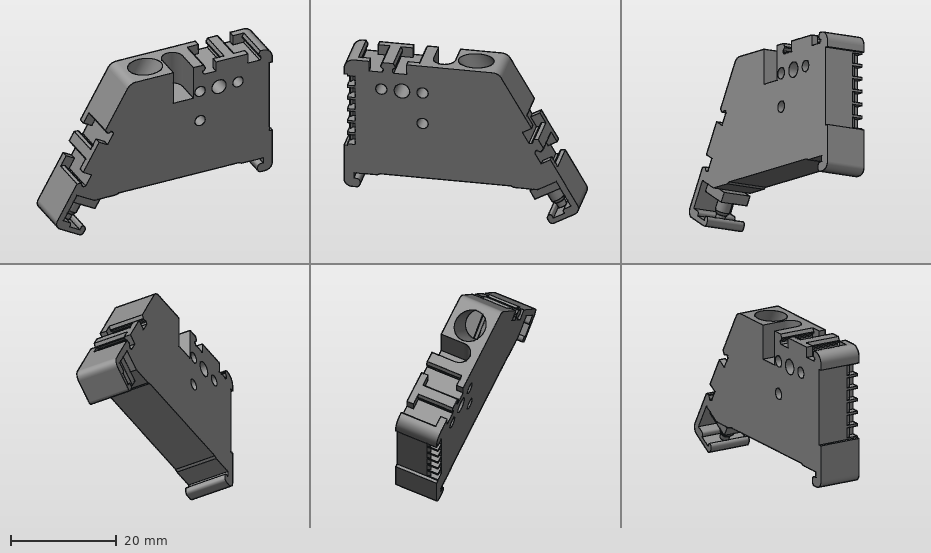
import cadquery as cq
import math

width = 8.5
length = 45.35
top_length = 29.85
front_angle = math.radians(60)
top_round = 2.0

underside_z = -24.0
relief_z = -23.7
relief_start, relief_end = -6.45, -32.9
relief_back_ramp, relief_front_ramp = 0.55, 0.7
hook_bottom_z, hook_tip_z = -26.93, -25.1
hook_inner_y, hook_tip_y = -1.9, -3.1
tip_round = 0.7
tip_inner_round = 0.3
outer_round = 1.5

arm_thickness = 1.25
shoulder_end, shoulder_height = 3.2, 1.8
shoulder_round = 0.55
foot_seat = 1.0
foot_tip_start, foot_length, foot_tip_height = 5.65, 6.8, 1.9

screw_inset = 4.5
plate_size = 6.0
plate_bottom, plate_thickness = 5.5, 2.0
shank_radius, shank_end = 1.4, 3.0
cone_end_radius, cone_end = 1.05, 2.3
pin_radius, pin_end = 0.9, 1.2

bore_radius = 2.95
bore_floor = 7.05
driver_slot_width, driver_slot_depth = 0.75, 0.8

track_depth = 2.05
track_side_wall = 1.35
track_half_length = 5.95
window_half_length = 3.63
bar_half_length = 3.35
rib_half_width = 1.05
top_track_y = -8.48
front_track_along = 16.4
flank = [(0, 0), (0.35, 0.7), (0.35, 0.9), (-0.2, 1.4), (-0.2, 1.68), (0.1, track_depth)]

pocket_y, pocket_width, pocket_depth = -18.68, 4.2, 6.8
pocket_end_x = 1.65

hole_pitch = 4.0
hole_row_y, hole_row_z = -11.2, -5.65
lower_hole_z = -12.15
small_hole_radius, large_hole_radius = 1.1, 1.5

comb_top_z, comb_bottom_z, comb_recess = -3.17, -18.25, 0.65
cell_count, cell_pitch, cell_height = 6, 2.5, 2.0
cell_inner_y, cell_floor_inner_y = -2.15, -1.9
cell_lip_foot_y, cell_lip_peak_y = -1.25, -0.9
cell_depth, cell_lip_depth = 2.25, 1.6

front_reach = length - top_length - outer_round * (1 - math.sin(front_angle))
front_length = front_reach / math.cos(front_angle) + outer_round

down_front = (-math.cos(front_angle), -math.sin(front_angle))
into_body = (math.sin(front_angle), -math.cos(front_angle))


def place(origin, along_dir, inward_dir, along, inward):
    """Point (y, z) at the given distances along and into a face."""
    return tuple(o + a * along + i * inward for o, a, i in zip(origin, along_dir, inward_dir))


def on_front(along, inward):
    """Point (y, z) measured down the sloped front from the top corner, and inward from it."""
    return place((-top_length, 0), down_front, into_body, along, inward)


def on_foot(inward, up):
    """Point (y, z) measured inward from the front face and up from the foot's underside."""
    return on_front(front_length - up, inward)


def toward(start, end, distance):
    """Point at the given distance from start on the way to end."""
    span = math.dist(start, end)
    return tuple(s + (e - s) * distance / span for s, e in zip(start, end))


def rounded_prism(corners, x_start, x_end):
    """Extrude a closed YZ outline along X; each corner is ((y, z), rounding radius)."""
    sketch = None
    for i, (point, radius) in enumerate(corners):
        before = corners[i - 1][0]
        after = corners[(i + 1) % len(corners)][0]
        if radius == 0:
            stops = [point]
        else:
            dot_product = sum((b - p) * (a - p) for b, p, a in zip(before, point, after))
            half = math.acos(dot_product / (math.dist(before, point) * math.dist(after, point))) / 2
            setback = radius / math.tan(half)
            entry = toward(point, before, setback)
            leave = toward(point, after, setback)
            chord_middle = tuple((a + b) / 2 for a, b in zip(entry, leave))
            crown = toward(point, chord_middle, radius / math.sin(half) - radius)
            stops = [entry, crown, leave]
        if sketch is None:
            sketch = cq.Workplane("YZ", origin=(x_start, 0, 0)).moveTo(*stops[0])
        else:
            sketch = sketch.lineTo(*stops[0])
        if radius:
            sketch = sketch.threePointArc(*stops[1:])
    return sketch.close().extrude(x_end - x_start)


def prism(points, x_start, x_end):
    return cq.Workplane("YZ", origin=(x_start, 0, 0)).polyline(points).close().extrude(x_end - x_start)


def make_body():
    plate_top = plate_bottom + plate_thickness
    plate_top_depth = (front_length - plate_top) * math.sin(front_angle)
    plate_meeting = (-underside_z - plate_top_depth) / math.cos(front_angle)
    return rounded_prism([
        ((0, 0), top_round),
        ((-top_length, 0), top_round),
        (on_foot(0, 0), outer_round),
        (on_foot(foot_length, 0), tip_round),
        (on_foot(foot_length, foot_tip_height), tip_round),
        (on_foot(foot_tip_start, foot_tip_height), tip_inner_round),
        (on_foot(foot_tip_start, foot_seat), 0),
        (on_foot(shoulder_end, foot_seat), 0),
        (on_foot(shoulder_end, shoulder_height), shoulder_round),
        (on_foot(arm_thickness, shoulder_height), 0),
        (on_foot(arm_thickness, plate_top), 0),
        (on_foot(plate_meeting, plate_top), 0),
        ((relief_end, underside_z), 0),
        ((relief_end + relief_front_ramp, relief_z), 0),
        ((relief_start - relief_back_ramp, relief_z), 0),
        ((relief_start, underside_z), 0),
        ((hook_inner_y, underside_z), 0),
        ((hook_inner_y, hook_tip_z), 0),
        ((hook_tip_y, hook_tip_z), tip_round),
        ((hook_tip_y, hook_bottom_z), tip_round),
        ((0, hook_bottom_z), outer_round),
        ((0, comb_bottom_z), 0),
        ((-comb_recess, comb_bottom_z), 0),
        ((-comb_recess, comb_top_z), 0),
        ((0, comb_top_z), 0),
    ], 0, width)


def make_clamp_plate():
    """Square plate centred on the screw."""
    near = screw_inset - plate_size / 2
    far = screw_inset + plate_size / 2
    top = plate_bottom + plate_thickness
    corners = [on_foot(near, plate_bottom), on_foot(far, plate_bottom), on_foot(far, top), on_foot(near, top)]
    return prism(corners, (width - plate_size) / 2, (width + plate_size) / 2)


def screw_plane(along):
    """Plane across the screw axis, facing down the front."""
    y, z = on_front(along, screw_inset)
    return cq.Plane(origin=(width / 2, y, z), xDir=(1, 0, 0), normal=(0, *down_front))


def make_screw():
    """Shank, cone and pin, turned about the screw axis below the clamp plate."""
    half_section = [
        (0, 0),
        (shank_radius, 0),
        (shank_radius, plate_bottom - shank_end),
        (cone_end_radius, plate_bottom - cone_end),
        (pin_radius, plate_bottom - cone_end),
        (pin_radius, plate_bottom - pin_end),
        (0, plate_bottom - pin_end),
    ]
    y, z = on_foot(screw_inset, plate_bottom)
    plane = cq.Plane(origin=(width / 2, y, z), xDir=(1, 0, 0), normal=(0, -down_front[1], down_front[0]))
    return cq.Workplane(plane).polyline(half_section).close().revolve(360, (0, 0), (0, 1))


def make_screw_bore():
    """Round bore down to the slotted screw head."""
    mouth = 2 * bore_radius
    bore = cq.Workplane(screw_plane(-mouth)).circle(bore_radius).extrude(mouth + bore_floor)
    head = cq.Workplane(screw_plane(bore_floor)).circle(bore_radius).extrude(driver_slot_depth)
    slot = cq.Workplane(screw_plane(bore_floor)).rect(driver_slot_width, 2 * bore_radius)
    return bore.union(slot.extrude(driver_slot_depth).intersect(head))


def make_track(origin, along_dir, inward_dir):
    """Marker track: a window at -X, an undercut cavity behind it, a bar at +X and a grooved rib."""
    def profile(half_length, bulges):
        right = [(half_length + bulge, depth) for bulge, depth in bulges]
        left = [(-along, depth) for along, depth in reversed(right)]
        return [place(origin, along_dir, inward_dir, *point) for point in right + left]

    straight = [(0, 0), (0, track_depth)]
    undercut = [(-bulge, depth) for bulge, depth in flank]
    window = prism(profile(window_half_length, straight), 0, track_side_wall)
    cavity = prism(profile(track_half_length, undercut), track_side_wall, width)
    bar = prism(profile(bar_half_length, straight), width - track_side_wall, width)
    rib = prism(profile(rib_half_width, flank), 0, width)
    return window.union(cavity).cut(bar).cut(rib)


def make_pocket():
    radius = pocket_width / 2
    centre_x = pocket_end_x + radius
    return (
        cq.Workplane("XY")
        .moveTo(width, pocket_y - radius)
        .lineTo(centre_x, pocket_y - radius)
        .threePointArc((pocket_end_x, pocket_y), (centre_x, pocket_y + radius))
        .lineTo(width, pocket_y + radius)
        .close()
        .extrude(-pocket_depth)
    )


def make_cross_holes():
    small = [
        (hole_row_y - hole_pitch, hole_row_z),
        (hole_row_y + hole_pitch, hole_row_z),
        (hole_row_y - hole_pitch, lower_hole_z),
    ]
    holes = cq.Workplane("YZ").pushPoints(small).circle(small_hole_radius).extrude(width)
    large = cq.Workplane("YZ").center(hole_row_y, hole_row_z).circle(large_hole_radius).extrude(width)
    return holes.union(large)


def make_comb_cells():
    """Cells cut in from -X, each with a lip along its outer edge."""
    outer_y = -comb_recess
    section = [
        (0, outer_y),
        (0, cell_inner_y),
        (cell_depth, cell_floor_inner_y),
        (cell_depth, cell_lip_foot_y),
        (cell_lip_depth, cell_lip_peak_y),
        (cell_depth, outer_y),
    ]
    first_z = (comb_top_z + comb_bottom_z) / 2 - (cell_count - 1) / 2 * cell_pitch
    cells = cq.Workplane("XY")
    for i in range(cell_count):
        bottom = first_z + i * cell_pitch - cell_height / 2
        cell = cq.Workplane("XY", origin=(0, 0, bottom)).polyline(section).close().extrude(cell_height)
        cells = cells.union(cell)
    return cells


result = (
    make_body()
    .union(make_clamp_plate())
    .union(make_screw())
    .cut(make_screw_bore())
    .cut(make_track((top_track_y, 0), (-1, 0), (0, -1)))
    .cut(make_track(on_front(front_track_along, 0), down_front, into_body))
    .cut(make_pocket())
    .cut(make_cross_holes())
    .cut(make_comb_cells())
)